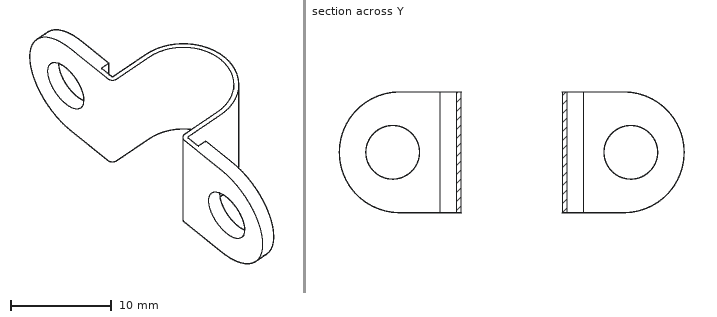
import cadquery as cq

overall_length = 34.2
width = 12.0
strip_thickness = 0.5
saddle_inner_radius = 5.0
seat_depth = 5.0
bend_inner_radius = 0.1
pad_thickness = 1.5
pad_length = 10.0
hole_diameter = 5.3
hole_spacing = 23.6

half_length = overall_length / 2
saddle_outer_radius = saddle_inner_radius + strip_thickness
bend_outer_radius = bend_inner_radius + strip_thickness
mounting_y = -seat_depth
flange_back_y = mounting_y + strip_thickness
half_width = width / 2
pad_inner_x = half_length - pad_length


def extrude_across_width(profile):
    """Extrude an XY outline over the full width, centred on Z = 0."""
    return profile.extrude(half_width, both=True)


def make_saddle():
    """Half-round saddle on two straight legs, open towards the mounting face."""
    profile = (
        cq.Workplane("XY")
        .moveTo(-saddle_outer_radius, mounting_y)
        .lineTo(-saddle_outer_radius, 0)
        .threePointArc((0, saddle_outer_radius), (saddle_outer_radius, 0))
        .lineTo(saddle_outer_radius, mounting_y)
        .lineTo(saddle_inner_radius, mounting_y)
        .lineTo(saddle_inner_radius, 0)
        .threePointArc((0, saddle_inner_radius), (-saddle_inner_radius, 0))
        .lineTo(-saddle_inner_radius, mounting_y)
        .close()
    )
    return extrude_across_width(profile)


def make_flange(side):
    """Thin flange stepping up to a thick pad; side is -1 or +1 along X."""
    profile = (
        cq.Workplane("XY")
        .moveTo(side * saddle_inner_radius, mounting_y)
        .lineTo(side * half_length, mounting_y)
        .lineTo(side * half_length, mounting_y + pad_thickness)
        .lineTo(side * pad_inner_x, mounting_y + pad_thickness)
        .lineTo(side * pad_inner_x, flange_back_y)
        .lineTo(side * saddle_inner_radius, flange_back_y)
        .close()
    )
    return extrude_across_width(profile)


def round_bend(body, side):
    """Round the outside and inside corners between a leg and its flange."""
    corners = (
        (saddle_inner_radius, mounting_y, bend_outer_radius),
        (saddle_outer_radius, flange_back_y, bend_inner_radius),
    )
    for x, y, radius in corners:
        nearest = cq.selectors.NearestToPointSelector((side * x, y, 0))
        body = body.edges("|Z").edges(nearest).fillet(radius)
    return body


def make_end_envelope():
    """Stadium-shaped prism that gives the flanges their round ends."""
    return (
        cq.Workplane("XZ")
        .slot2D(overall_length, width)
        .extrude(seat_depth + saddle_outer_radius, both=True)
    )


def make_screw_holes():
    """Two screw holes running through the pads along Y."""
    return (
        cq.Workplane("XZ", origin=(0, mounting_y, 0))
        .pushPoints([(-hole_spacing / 2, 0), (hole_spacing / 2, 0)])
        .circle(hole_diameter / 2)
        .extrude(-pad_thickness)
    )


clamp = make_saddle().union(make_flange(-1)).union(make_flange(1)).clean()
for bend_side in (-1, 1):
    clamp = round_bend(clamp, bend_side)

result = clamp.intersect(make_end_envelope()).cut(make_screw_holes())